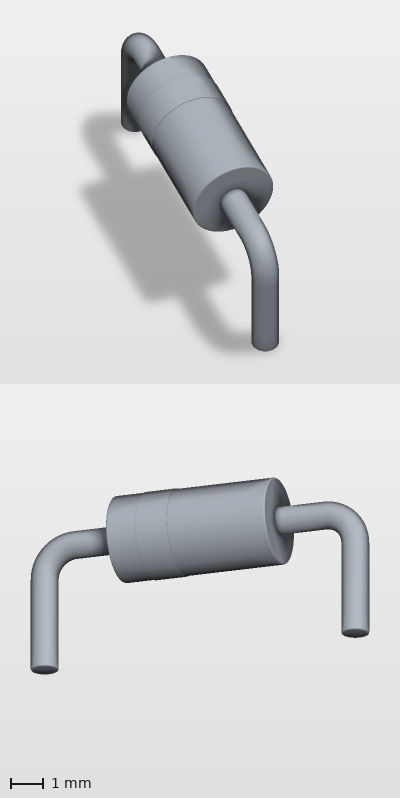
import cadquery as cq

body_length = 5.2
body_diameter = 2.7
body_edge_fillet = 0.05

band_diameter = 2.74
band_width = 1.0
band_offset = 1.0

lead_pitch = 10.16
lead_diameter = 0.86
lead_drop = 3.96
bend_radius = 1.0
lead_tip_fillet = 0.05


def cylinder_along_x(start_x, length, diameter):
    return cq.Workplane("YZ", origin=(start_x, 0, 0)).circle(diameter / 2).extrude(length)


def make_body():
    body = cylinder_along_x(-body_length / 2, body_length, body_diameter)
    return body.edges("%CIRCLE").fillet(body_edge_fillet)


def make_band():
    return cylinder_along_x(-body_length / 2 + band_offset, band_width, band_diameter)


def make_lead_wire():
    """One continuous wire through the body, bent down at both ends."""
    tip_x = lead_pitch / 2
    bend_x = tip_x - bend_radius
    path = (
        cq.Workplane("XZ")
        .moveTo(-tip_x, -lead_drop)
        .lineTo(-tip_x, -bend_radius)
        .tangentArcPoint((-bend_x, 0), relative=False)
        .lineTo(bend_x, 0)
        .tangentArcPoint((tip_x, -bend_radius), relative=False)
        .lineTo(tip_x, -lead_drop)
    )
    section = cq.Workplane("XY", origin=(-tip_x, 0, -lead_drop)).circle(lead_diameter / 2)
    return section.sweep(path).faces("<Z").edges().fillet(lead_tip_fillet)


result = make_body().union(make_band()).union(make_lead_wire())